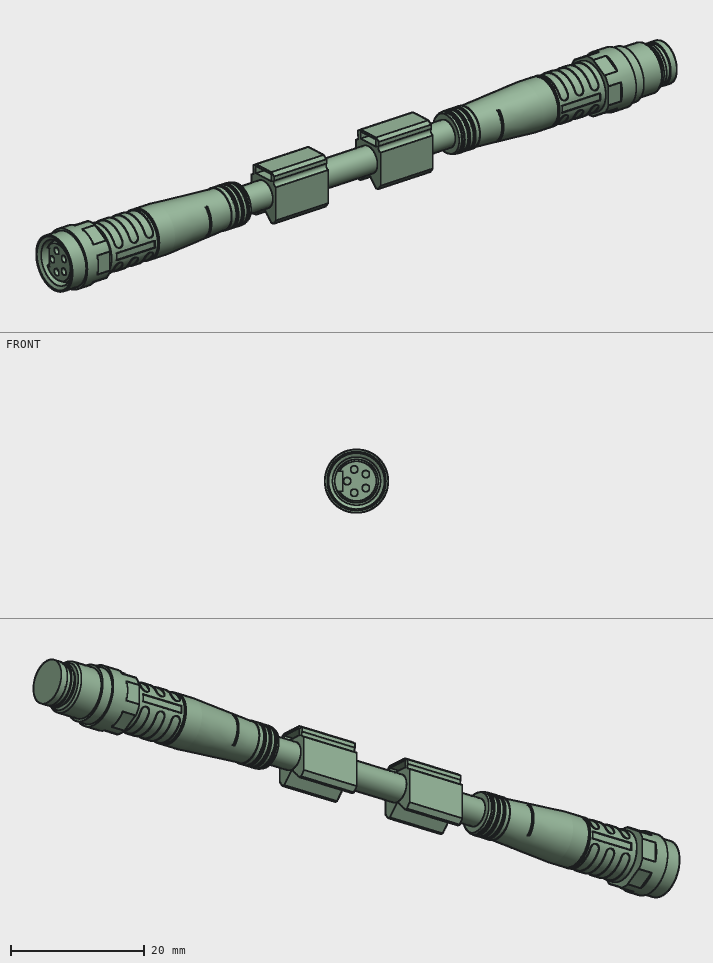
import cadquery as cq

LENGTH = 116.5
PLUG_END = LENGTH / 2
SOCKET_END = -LENGTH / 2

CUTTER_REACH = 5.8

GRIP_RADIUS = 8.0 / 2
GRIP_STRAIGHT = 12.1
GRIP_TAPER_END = 23.5
GRIP_LENGTH = 27.4
TAPER_END_RADIUS = 3.3
PLUG_GRIP_FRONT = PLUG_END - 14.1
SOCKET_GRIP_FRONT = SOCKET_END + 7.8

MARK_DEPTH = 0.2
FINGER_GROOVE_DEPTH = 0.1
FINGER_GROOVE_WIDTH = 1.5
FINGER_GROOVE_FIRST = 1.7
FINGER_GROOVE_PITCH = 2.9
FINGER_GROOVE_COUNT = 3
FINGER_GROOVE_GAP = 2.5
SPINE_WIDTH = 1.2
GRIP_RING_PLACE = 9.0
GRIP_RING_WIDTH = 0.3
THUMB_MARK_PLACE = 19.3
THUMB_MARK_WIDTH = 0.3
THUMB_MARK_HEIGHT = 4.9

RELIEF_RADIUS = 3.4
RELIEF_LIP_LENGTH = 0.6
RELIEF_END_RADIUS = 3.1
RELIEF_GROOVE_FIRST = 24.6
RELIEF_GROOVE_PITCH = 1.0
RELIEF_GROOVE_COUNT = 3
RELIEF_GROOVE_WIDTH = 0.5

NUT_RADIUS = 4.8
COLLAR_RADIUS = 4.4
NUT_FLAT_COUNT = 6
NUT_FLAT_DISTANCE = 4.4
NUT_FLAT_WIDTH = 3.1
NUT_FLAT_LENGTH = 2.5
NECK_RADIUS = 5.9 / 2

PLUG_NOSE_RADIUS = 6.9 / 2
PLUG_NOSE_LENGTH = 2.5
NOSE_GROOVE_START = 1.2
NOSE_GROOVE_WIDTH = 0.8
PLUG_SLEEVE_START = 3.0
PLUG_SLEEVE_CHAMFER = 0.3
PLUG_COLLAR_START = 7.1
PLUG_NUT_START = 8.9
PLUG_NUT_END = 14.0

SOCKET_COLLAR_LENGTH = 2.6
SOCKET_NUT_END = 7.1
SOCKET_MOUTH_RADIUS = 4.2
SOCKET_MOUTH_DEPTH = 0.3
SOCKET_BORE_RADIUS = 3.6
SOCKET_DEPTH = 3.5
INSERT_FACE_RADIUS = 5.9 / 2
INSERT_RADIUS = 3.3
INSERT_TAPER_LENGTH = 0.6
INSERT_RECESS = 0.7
CONTACT_DIAMETER = 1.1
CONTACT_PLACES = ((-1.4, 0), (-0.3, 1.7), (-0.3, -1.7), (1.4, 1.0), (1.4, -1.0))
CONTACT_DEPTH = 2.3
KEYWAY_WIDTH = 3.0
KEYWAY_DEPTH = 1.2

CABLE_RADIUS = 2.2
CARRIER_LENGTH = 10.0
CARRIER_CENTRES = (6.9, -13.2)
CARRIER_HALF_WIDTH = 5.9 / 2
CARRIER_TOP = 4.3
CARRIER_BOTTOM = -4.1
TAG_HALF_WIDTH = 2.6
TAG_FLAT_HALF_WIDTH = 1.9
TAG_SIDE_TOP = 3.8
TAG_SIDE_BOTTOM = 3.1
CARRIER_SHOULDER = 2.2
CARRIER_GROOVE_MIDDLE = (2.5, 2.7)
LEG_CHAMFER_TOP = -3.3
LEG_OUTER = 2.3
LEG_INNER = 1.9
NOTCH_APEX = CARRIER_BOTTOM + LEG_INNER
TAG_TUNNEL_HALF_WIDTH = 1.9
TAG_TUNNEL_BOTTOM = 2.8
TAG_TUNNEL_TOP = 4.0


def turned(points):
    """Solid of revolution about Y from (radius, y) points of its outer side."""
    outline = [(0, points[0][1])] + points + [(0, points[-1][1])]
    return cq.Workplane("XY").polyline(outline).close().revolve(360, (0, 0), (0, 1))


def rod(radius, start, end):
    """Cylinder along Y between two places."""
    return turned([(radius, start), (radius, end)])


def ring(inner_radius, outer_radius, start, end):
    """Tube along Y between two places."""
    return rod(outer_radius, start, end).cut(rod(inner_radius, start, end))


def box(x_range, y_range, z_range):
    """Block spanning a (low, high) range along each axis."""
    sizes = [high - low for low, high in (x_range, y_range, z_range)]
    centre = tuple((low + high) / 2 for low, high in (x_range, y_range, z_range))
    return cq.Workplane("XY").box(*sizes).translate(centre)


def finger_groove(place):
    """Two shallow arcs around the grip whose round ends stop short of the +X and -X sides."""
    reach = 2 * GRIP_RADIUS
    middle = (FINGER_GROOVE_GAP + reach) / 2
    outline = (
        cq.Workplane("YZ")
        .pushPoints([(-place, middle), (-place, -middle)])
        .slot2D(reach, FINGER_GROOVE_WIDTH, 90)
        .extrude(CUTTER_REACH, both=True)
    )
    start = -place - FINGER_GROOVE_WIDTH / 2
    end = start + FINGER_GROOVE_WIDTH
    return ring(GRIP_RADIUS - FINGER_GROOVE_DEPTH, CUTTER_REACH, start, end).intersect(outline)


def spine_recesses():
    """Flat-bottomed slots along the +X and -X sides, as long as the row of finger grooves."""
    row = (FINGER_GROOVE_COUNT - 1) * FINGER_GROOVE_PITCH
    start = FINGER_GROOVE_FIRST - FINGER_GROOVE_WIDTH / 2
    end = FINGER_GROOVE_FIRST + row + FINGER_GROOVE_WIDTH / 2
    slot = box(
        (GRIP_RADIUS - MARK_DEPTH, CUTTER_REACH), (-end, -start), (-SPINE_WIDTH / 2, SPINE_WIDTH / 2)
    )
    return slot.union(slot.mirror("YZ"))


def thumb_marks():
    """Short arcs cut across the +X and -X sides of the taper."""
    taper = (THUMB_MARK_PLACE - GRIP_STRAIGHT) / (GRIP_TAPER_END - GRIP_STRAIGHT)
    radius = GRIP_RADIUS + taper * (TAPER_END_RADIUS - GRIP_RADIUS)
    start = -THUMB_MARK_PLACE - THUMB_MARK_WIDTH / 2
    end = start + THUMB_MARK_WIDTH
    height = (-THUMB_MARK_HEIGHT / 2, THUMB_MARK_HEIGHT / 2)
    band = box((-CUTTER_REACH, CUTTER_REACH), (start, end), height)
    return ring(radius - MARK_DEPTH, CUTTER_REACH, start, end).intersect(band)


def make_grip():
    """Grip with its front face at Y = 0 and the cable leaving toward -Y."""
    grip = turned([
        (GRIP_RADIUS, 0),
        (GRIP_RADIUS, -GRIP_STRAIGHT),
        (TAPER_END_RADIUS, -GRIP_TAPER_END),
        (RELIEF_RADIUS, -GRIP_TAPER_END),
        (RELIEF_RADIUS, -GRIP_LENGTH + RELIEF_LIP_LENGTH),
        (RELIEF_END_RADIUS, -GRIP_LENGTH),
    ])
    for index in range(FINGER_GROOVE_COUNT):
        grip = grip.cut(finger_groove(FINGER_GROOVE_FIRST + index * FINGER_GROOVE_PITCH))
    for index in range(RELIEF_GROOVE_COUNT):
        middle = -RELIEF_GROOVE_FIRST - index * RELIEF_GROOVE_PITCH
        start = middle - RELIEF_GROOVE_WIDTH / 2
        end = middle + RELIEF_GROOVE_WIDTH / 2
        grip = grip.cut(ring(RELIEF_RADIUS - MARK_DEPTH, CUTTER_REACH, start, end))
    ring_start = -GRIP_RING_PLACE - GRIP_RING_WIDTH / 2
    ring_end = ring_start + GRIP_RING_WIDTH
    grip = grip.cut(ring(GRIP_RADIUS - MARK_DEPTH, CUTTER_REACH, ring_start, ring_end))
    return grip.cut(spine_recesses()).cut(thumb_marks())


def nut_flats(start, end):
    """Cutter for the flat windows spaced around a coupling nut."""
    flats = cq.Workplane("XY")
    half_width = NUT_FLAT_WIDTH / 2
    flat = box((NUT_FLAT_DISTANCE, CUTTER_REACH), (start, end), (-half_width, half_width))
    for index in range(NUT_FLAT_COUNT):
        flats = flats.add(flat.rotate((0, 0, 0), (0, 1, 0), index * 360 / NUT_FLAT_COUNT))
    return flats.combine()


def make_plug_front():
    """Grooved nose, sleeve, collar and coupling nut at the +Y end."""
    groove_end = NOSE_GROOVE_START + NOSE_GROOVE_WIDTH
    nut_end = PLUG_END - PLUG_NUT_END
    nose_groove_radius = PLUG_NOSE_RADIUS - MARK_DEPTH
    front = turned([
        (PLUG_NOSE_RADIUS, PLUG_END),
        (PLUG_NOSE_RADIUS, PLUG_END - NOSE_GROOVE_START),
        (nose_groove_radius, PLUG_END - NOSE_GROOVE_START),
        (nose_groove_radius, PLUG_END - groove_end),
        (PLUG_NOSE_RADIUS, PLUG_END - groove_end),
        (PLUG_NOSE_RADIUS, PLUG_END - PLUG_NOSE_LENGTH),
        (NECK_RADIUS, PLUG_END - PLUG_NOSE_LENGTH),
        (NECK_RADIUS, PLUG_END - PLUG_SLEEVE_START),
        (GRIP_RADIUS - PLUG_SLEEVE_CHAMFER, PLUG_END - PLUG_SLEEVE_START),
        (GRIP_RADIUS, PLUG_END - PLUG_SLEEVE_START - PLUG_SLEEVE_CHAMFER),
        (GRIP_RADIUS, PLUG_END - PLUG_COLLAR_START),
        (COLLAR_RADIUS, PLUG_END - PLUG_COLLAR_START),
        (COLLAR_RADIUS, PLUG_END - PLUG_NUT_START),
        (NUT_RADIUS, PLUG_END - PLUG_NUT_START),
        (NUT_RADIUS, nut_end),
        (NECK_RADIUS, nut_end),
        (NECK_RADIUS, PLUG_GRIP_FRONT),
    ])
    return front.cut(nut_flats(nut_end, nut_end + NUT_FLAT_LENGTH))


def make_socket_front():
    """Coupling nut and collar at the -Y end, around an insert with contact holes and a keyway."""
    collar_end = SOCKET_END + SOCKET_COLLAR_LENGTH
    nut_end = SOCKET_END + SOCKET_NUT_END
    insert_face = SOCKET_END + INSERT_RECESS
    front = turned([
        (COLLAR_RADIUS, SOCKET_END),
        (COLLAR_RADIUS, collar_end),
        (NUT_RADIUS, collar_end),
        (NUT_RADIUS, nut_end),
        (NECK_RADIUS, nut_end),
        (NECK_RADIUS, SOCKET_GRIP_FRONT),
    ])
    front = front.cut(nut_flats(nut_end - NUT_FLAT_LENGTH, nut_end))
    front = front.cut(turned([
        (SOCKET_MOUTH_RADIUS, SOCKET_END),
        (SOCKET_BORE_RADIUS, SOCKET_END + SOCKET_MOUTH_DEPTH),
        (SOCKET_BORE_RADIUS, SOCKET_END + SOCKET_DEPTH),
    ]))
    insert = turned([
        (INSERT_FACE_RADIUS, insert_face),
        (INSERT_RADIUS, insert_face + INSERT_TAPER_LENGTH),
        (INSERT_RADIUS, SOCKET_END + SOCKET_DEPTH),
    ])
    contact_end = insert_face + CONTACT_DEPTH
    for x, z in CONTACT_PLACES:
        hole = rod(CONTACT_DIAMETER / 2, insert_face, contact_end).translate((x, 0, z))
        insert = insert.cut(hole)
    keyway = box(
        (-INSERT_RADIUS, KEYWAY_DEPTH - INSERT_RADIUS),
        (insert_face, contact_end),
        (-KEYWAY_WIDTH / 2, KEYWAY_WIDTH / 2),
    )
    return front.union(insert.cut(keyway))


def make_carrier(centre):
    """Label carrier clipped over the cable, with a tag tunnel on top and a V notch below."""
    groove_x, groove_z = CARRIER_GROOVE_MIDDLE
    section = (
        cq.Workplane("XZ", origin=(0, centre, 0))
        .moveTo(-TAG_FLAT_HALF_WIDTH, CARRIER_TOP)
        .lineTo(TAG_FLAT_HALF_WIDTH, CARRIER_TOP)
        .lineTo(TAG_HALF_WIDTH, TAG_SIDE_TOP)
        .lineTo(TAG_HALF_WIDTH, TAG_SIDE_BOTTOM)
        .threePointArc((groove_x, groove_z), (CARRIER_HALF_WIDTH, CARRIER_SHOULDER))
        .lineTo(CARRIER_HALF_WIDTH, LEG_CHAMFER_TOP)
        .lineTo(LEG_OUTER, CARRIER_BOTTOM)
        .lineTo(LEG_INNER, CARRIER_BOTTOM)
        .lineTo(0, NOTCH_APEX)
        .lineTo(-LEG_INNER, CARRIER_BOTTOM)
        .lineTo(-LEG_OUTER, CARRIER_BOTTOM)
        .lineTo(-CARRIER_HALF_WIDTH, LEG_CHAMFER_TOP)
        .lineTo(-CARRIER_HALF_WIDTH, CARRIER_SHOULDER)
        .threePointArc((-groove_x, groove_z), (-TAG_HALF_WIDTH, TAG_SIDE_BOTTOM))
        .lineTo(-TAG_HALF_WIDTH, TAG_SIDE_TOP)
        .close()
    )
    carrier = section.extrude(CARRIER_LENGTH / 2, both=True)
    tunnel = box(
        (-TAG_TUNNEL_HALF_WIDTH, TAG_TUNNEL_HALF_WIDTH),
        (centre - CARRIER_LENGTH / 2, centre + CARRIER_LENGTH / 2),
        (TAG_TUNNEL_BOTTOM, TAG_TUNNEL_TOP),
    )
    return carrier.cut(tunnel)


grip = make_grip()
result = rod(CABLE_RADIUS, SOCKET_GRIP_FRONT, PLUG_GRIP_FRONT)
result = result.union(grip.translate((0, PLUG_GRIP_FRONT, 0)))
result = result.union(grip.mirror("XZ").translate((0, SOCKET_GRIP_FRONT, 0)))
result = result.union(make_plug_front())
result = result.union(make_socket_front())
for carrier_centre in CARRIER_CENTRES:
    result = result.union(make_carrier(carrier_centre))